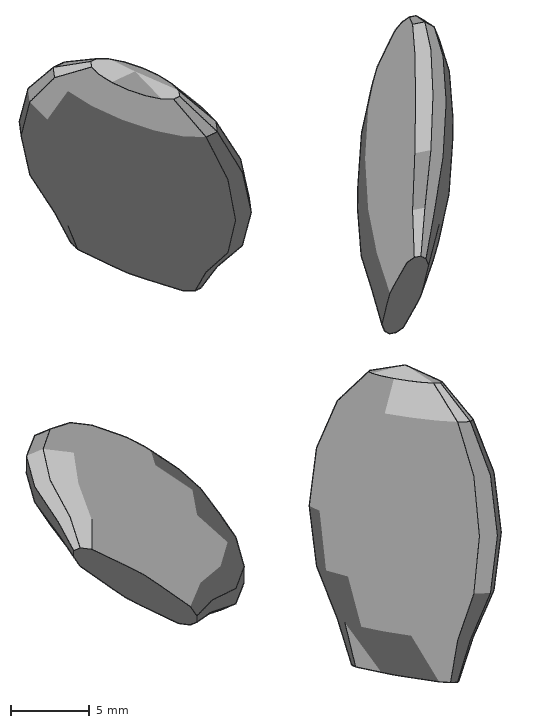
import cadquery as cq
import math

HALF_WIDTH = 8.255
HALF_THICKNESS = 2.605
HALF_HEIGHT = 10.0
SECTORS = 16
BANDS = 8

FOOT_DROP = 0.75
FOOT_SPREAD = 1.51
SPREAD_START = 0.5

SECTOR_ANGLE = 2 * math.pi / SECTORS
BAND_ANGLE = math.pi / BANDS


def ellipsoid_ring(band):
    """Corners of the ellipsoid ring that lies `band` steps below the top pole."""
    ring_scale = math.sin(band * BAND_ANGLE)
    z = HALF_HEIGHT * math.cos(band * BAND_ANGLE)
    corners = []
    for sector in range(SECTORS):
        angle = sector * SECTOR_ANGLE
        x = HALF_WIDTH * ring_scale * math.cos(angle)
        y = HALF_THICKNESS * ring_scale * math.sin(angle)
        corners.append(cq.Vector(x, y, z))
    return corners


def foot_ring():
    """Lowest ellipsoid ring, dropped, with its left and right ends moved outward."""
    corners = []
    for sector, corner in enumerate(ellipsoid_ring(BANDS - 1)):
        cosine = math.cos(sector * SECTOR_ANGLE)
        spread = 0.0
        if abs(cosine) > SPREAD_START:
            spread = math.copysign(FOOT_SPREAD, cosine)
        corners.append(corner + cq.Vector(spread, 0, -FOOT_DROP))
    return corners


def flat_face(corners):
    return cq.Face.makeFromWires(cq.Wire.makePolygon(corners, close=True))


def cap_faces(pole, ring):
    """Triangles that fan out from the pole to the first ring."""
    faces = []
    for sector in range(SECTORS):
        following = (sector + 1) % SECTORS
        faces.append(flat_face([pole, ring[sector], ring[following]]))
    return faces


def band_faces(upper, lower):
    """Two triangles per sector, split from upper corner to the following lower corner."""
    faces = []
    for sector in range(SECTORS):
        following = (sector + 1) % SECTORS
        faces.append(flat_face([upper[sector], lower[sector], lower[following]]))
        faces.append(flat_face([upper[sector], lower[following], upper[following]]))
    return faces


def faceted_body():
    rings = [ellipsoid_ring(band) for band in range(1, BANDS - 1)]
    rings.append(foot_ring())
    faces = cap_faces(cq.Vector(0, 0, HALF_HEIGHT), rings[0])
    for upper, lower in zip(rings, rings[1:]):
        faces.extend(band_faces(upper, lower))
    faces.append(flat_face(rings[-1][::-1]))
    return cq.Solid.makeSolid(cq.Shell.makeShell(faces))


result = cq.Workplane("XY").newObject([faceted_body()])